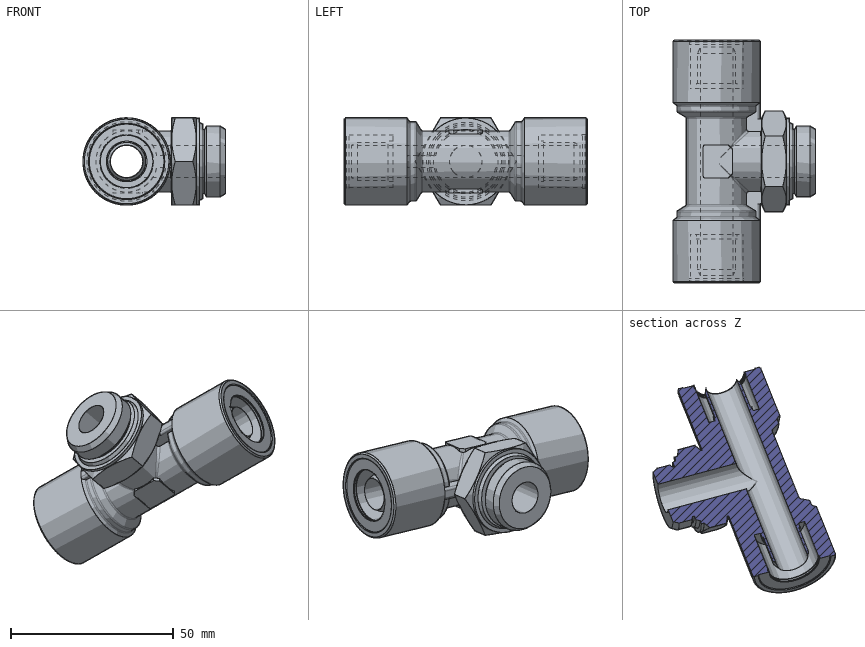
import cadquery as cq

overall_length = 75.0
half_length = overall_length / 2
pipe_radius = 18.9 / 2
bore_radius = 10.0 / 2

position_tolerance = 0.01

socket_radius = 27.0 / 2
socket_length = 19.35
socket_edge = 0.45
shoulder_radius = 24.5 / 2
shoulder_step = 0.9
shoulder_length = 1.95
shoulder_taper = 1.7
shoulder_fillet = 0.5
face_rim_radius = 23.55 / 2
face_radius = 23.0 / 2
mouth_radius = 16.2 / 2
mouth_depth = 15.0
lip_length = 0.7
lip_groove_width = 0.75
lip_groove_depth = 0.2

sleeve_radius = 11.8 / 2
sleeve_base_radius = 12.5 / 2
sleeve_base_length = 1.5
sleeve_tip_depth = 2.25
sleeve_taper = 1.9

stem_root_fillet = 0.4
seam_fillet = 0.75
hex_start = 13.9
hex_end = 21.5
hex_across_flats = 27.0
hex_face_radius = 26.8 / 2
hex_chamfer_length = 1.1
collar_radius = hex_face_radius
collar_end = 22.4
seal_radius = 24.15 / 2
seal_tip_radius = 23.0 / 2
seal_end = 23.55
neck_radius = 19.9 / 2
thread_radius = 22.0 / 2
thread_start = 24.1
thread_entry = 0.6
thread_tip_chamfer = 1.7
branch_end = 30.5

pad_start = -4.1
pad_end = 4.95
pad_width = 10.2
pad_height = 9.7
pad_corner_radius = 0.6
pad_corner_cut = 1.35

web_thickness = 3.75
web_inner_width = 26.25
web_outer_x = socket_radius
web_edge_radius = 0.75


def revolve_about_y(points):
    return cq.Workplane("XY").polyline(points).close().revolve(360, (0, 0, 0), (0, 1, 0))


def revolve_about_x(points):
    return cq.Workplane("XY").polyline(points).close().revolve(360, (0, 0, 0), (1, 0, 0))


def both_ends(shape):
    return shape.union(shape.mirror("XZ"))


def run_half():
    """Outside of one half of the run, from the middle of the tee to the socket face."""
    socket_start = half_length - socket_length
    shoulder_end = socket_start - shoulder_step
    shoulder_start = shoulder_end - shoulder_length
    taper_start = shoulder_start - shoulder_taper
    recess_depth = face_rim_radius - face_radius
    outside = revolve_about_y([
        (0, 0),
        (pipe_radius, 0),
        (pipe_radius, taper_start),
        (shoulder_radius, shoulder_start),
        (shoulder_radius, shoulder_end),
        (socket_radius, socket_start),
        (socket_radius, half_length - socket_edge),
        (socket_radius - socket_edge, half_length),
        (face_rim_radius, half_length),
        (face_radius, half_length - recess_depth),
        (0, half_length - recess_depth),
    ])
    shoulder_corners = [taper_start, shoulder_start, shoulder_end]
    return (
        outside.edges("%CIRCLE")
        .filter(lambda edge: any(abs(edge.Center().y - y) < position_tolerance for y in shoulder_corners))
        .fillet(shoulder_fillet)
    )


def socket_cavity():
    """Annular space between the socket wall and the sleeve, open at the socket face."""
    floor = half_length - mouth_depth
    groove_end = half_length - lip_length
    groove_start = groove_end - lip_groove_width
    sleeve_tip = half_length - sleeve_tip_depth
    return revolve_about_y([
        (sleeve_base_radius, floor),
        (mouth_radius, floor),
        (mouth_radius, groove_start),
        (mouth_radius + lip_groove_depth, groove_start),
        (mouth_radius + lip_groove_depth, groove_end),
        (mouth_radius, groove_end),
        (mouth_radius, half_length),
        (0, half_length),
        (0, sleeve_tip),
        (bore_radius, sleeve_tip),
        (sleeve_radius, sleeve_tip - sleeve_taper),
        (sleeve_radius, floor + sleeve_base_length),
        (sleeve_base_radius, floor + sleeve_base_length),
    ])


def hexagon():
    """Hexagon with corners on +Y and -Y, both ends chamfered by a cone."""
    corner_diameter = hex_across_flats / (3 ** 0.5 / 2)
    corner_radius = corner_diameter / 2
    envelope = revolve_about_x([
        (hex_start, 0),
        (hex_start, hex_face_radius),
        (hex_start + hex_chamfer_length, corner_radius),
        (hex_end - hex_chamfer_length, corner_radius),
        (hex_end, hex_face_radius),
        (hex_end, 0),
    ])
    prism = (
        cq.Workplane("YZ", origin=(hex_start, 0, 0))
        .polygon(6, corner_diameter)
        .extrude(hex_end - hex_start)
    )
    return prism.intersect(envelope)


def branch_stem():
    """Round stem that carries the hexagon, rounded where the two meet."""
    stem = cq.Workplane("YZ").circle(pipe_radius).extrude(hex_start)
    return (
        stem.union(hexagon())
        .edges(cq.selectors.RadiusNthSelector(0))
        .edges(cq.selectors.NearestToPointSelector((hex_start, 0, 0)))
        .fillet(stem_root_fillet)
    )


def threaded_spigot():
    """Collar, seal ring, neck and plain thread cylinder beyond the hexagon."""
    return revolve_about_x([
        (hex_start, 0),
        (hex_start, neck_radius),
        (hex_end, neck_radius),
        (hex_end, collar_radius),
        (collar_end, collar_radius),
        (collar_end, seal_radius),
        (seal_end, seal_tip_radius),
        (seal_end, neck_radius),
        (thread_start, neck_radius),
        (thread_start + thread_entry, thread_radius),
        (branch_end - thread_tip_chamfer, thread_radius),
        (branch_end, neck_radius),
        (branch_end, 0),
    ])


def web():
    """Flat web in the XY plane with a rounded outer edge, widened to the hexagon in the middle."""
    web_length = 2 * (half_length - socket_length)
    outer = (
        cq.Workplane("XY")
        .box(web_outer_x, web_length, web_thickness, centered=(False, True, True))
        .edges("|Y and >X")
        .fillet(web_edge_radius)
    )
    inner = cq.Workplane("XY").box(
        hex_start, web_inner_width, web_thickness, centered=(False, True, True)
    )
    return outer.union(inner)


def pads():
    """Through block that ends in a flat pad above and below the tee."""
    block = (
        cq.Workplane("XY")
        .box(pad_end - pad_start, pad_width, 2 * pad_height, centered=(False, True, True))
        .translate((pad_start, 0, 0))
    )
    return (
        block.edges("|Z and <X").fillet(pad_corner_radius)
        .edges("|Z and >X").chamfer(pad_corner_cut)
    )


def bores():
    run_bore = cq.Workplane("XZ").circle(bore_radius).extrude(half_length, both=True)
    branch_bore = cq.Workplane("YZ").circle(bore_radius).extrude(branch_end)
    return run_bore.union(branch_bore)


def tee():
    """Run and branch joined by the web and pads, with the seam between the cylinders rounded."""
    joined = both_ends(run_half())
    for part in (branch_stem(), web(), pads()):
        joined = joined.union(part)
    return (
        joined.edges("%ELLIPSE")
        .filter(lambda edge: edge.Center().x > pad_end)
        .fillet(seam_fillet)
    )


body = tee().union(threaded_spigot())

result = body.cut(both_ends(socket_cavity())).cut(bores())